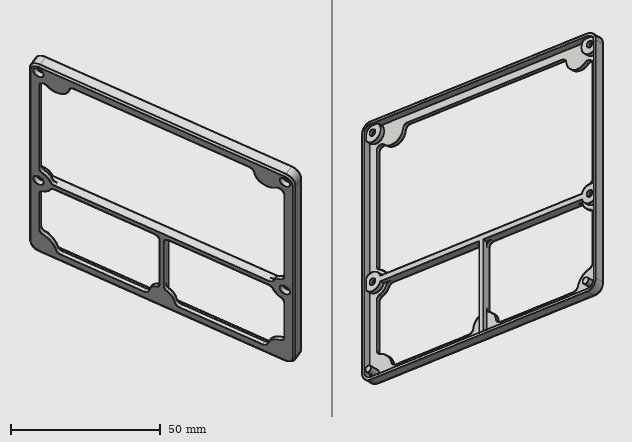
import cadquery as cq
import math

width = 102.4
height = 98.4
frame_depth = 4.5
corner_radius = 3.8
front_chamfer = 0.7
border = 4.0
plate_thickness = 1.5
rim_thickness = 1.0

crossbar_z = -11.4
crossbar_width = 2.2
post_width = 1.7
rib_depth = 3.4

lobe_radius = 5.0
corner_lobe_radius = 7.0
top_lobe_x = 40.7
end_lobe_z = 44.2
window_fillet = 1.9

fixing_inset = 3.7
hole_diameter = 2.5
counterbore_diameter = 4.0
counterbore_depth = 2.0
boss_diameter = 7.2
pin_diameter = 2.5
pin_length = 1.0

inner_x = width / 2 - border
inner_z = height / 2 - border
recess_x = width / 2 - rim_thickness
recess_z = height / 2 - rim_thickness
fixing_x = width / 2 - fixing_inset
fixing_z = height / 2 - fixing_inset
pin_end = frame_depth + pin_length
crossbar_top = crossbar_z + crossbar_width / 2
crossbar_bottom = crossbar_z - crossbar_width / 2


def front_plane(y=0):
    """Sketch plane at depth y, with local axes X and Z and its normal toward -Y."""
    return cq.Workplane("XZ", origin=(0, y, 0))


def block(x_min, x_max, z_min, z_max, y_min=0, y_max=frame_depth):
    """Rectangular prism between two depths."""
    center = ((x_min + x_max) / 2, (z_min + z_max) / 2)
    return front_plane(y_min).center(*center).rect(x_max - x_min, z_max - z_min).extrude(y_min - y_max)


def discs(points, radius, depth=frame_depth, y=0):
    """Cylinders along Y that start at depth y."""
    return front_plane(y).pushPoints(points).circle(radius).extrude(-depth)


def both_sides(x, z):
    """The same place on the left and right of the frame."""
    return [(-x, z), (x, z)]


def frame_plate():
    """Solid rounded plate with a chamfered front edge."""
    plate = block(-width / 2, width / 2, -height / 2, height / 2)
    plate = plate.edges("|Y").fillet(corner_radius)
    return plate.faces("<Y").chamfer(front_chamfer)


def back_recess():
    """Hollow behind the front plate, leaving a thin rim around the outline."""
    recess = block(-recess_x, recess_x, -recess_z, recess_z, plate_thickness)
    return recess.edges("|Y").fillet(corner_radius - rim_thickness)


def back_ribs():
    """Stiffening ribs behind the crossbar and the post."""
    crossbar = block(-recess_x, recess_x, crossbar_bottom, crossbar_top, plate_thickness, rib_depth)
    post = block(-post_width / 2, post_width / 2, -recess_z, crossbar_z, plate_thickness, rib_depth)
    return crossbar.union(post)


def upper_window():
    """Full-width opening above the crossbar."""
    window = block(-inner_x, inner_x, crossbar_top, inner_z)
    window = window.cut(discs(both_sides(fixing_x, crossbar_z), lobe_radius))
    lower_half = cq.selectors.BoxSelector((-width, -width, -height), (width, width, 0))
    window = window.edges("|Y").edges(lower_half).fillet(window_fillet)

    relief_x = inner_x - window_fillet
    relief_drop = math.sqrt((lobe_radius + window_fillet) ** 2 - (relief_x - top_lobe_x) ** 2)
    relief_z = end_lobe_z - relief_drop
    window = window.cut(discs(both_sides(top_lobe_x, end_lobe_z), lobe_radius))
    for side in (-1, 1):
        corner_web = [
            (side * inner_x, inner_z),
            (side * inner_x, relief_z),
            (side * relief_x, relief_z),
            (side * top_lobe_x, end_lobe_z),
            (side * top_lobe_x, inner_z),
        ]
        window = window.cut(front_plane().polyline(corner_web).close().extrude(-frame_depth))
    window = window.edges("|Y").edges(">Z").fillet(window_fillet)
    return window.union(discs(both_sides(relief_x, relief_z), window_fillet))


def lower_left_window():
    """Opening below the crossbar, left of the post."""
    window = block(-inner_x, -post_width / 2, -inner_z, crossbar_bottom)
    window = window.cut(discs([(-fixing_x, crossbar_z)], lobe_radius))
    window = window.cut(discs([(0, -end_lobe_z)], lobe_radius))
    window = window.cut(discs([(-fixing_x, -fixing_z)], corner_lobe_radius))
    return window.edges("|Y").fillet(window_fillet)


hole_points = both_sides(fixing_x, fixing_z) + both_sides(fixing_x, crossbar_z)
pin_points = both_sides(fixing_x, -fixing_z)

outer_plate = frame_plate()
bosses = discs(hole_points, boss_diameter / 2, rib_depth - plate_thickness, plate_thickness)
result = outer_plate.cut(back_recess()).union(back_ribs())
result = result.union(bosses.intersect(outer_plate))

left_window = lower_left_window()
result = result.cut(upper_window())
result = result.cut(left_window).cut(left_window.mirror("YZ"))

result = result.cut(discs(hole_points, hole_diameter / 2))
result = result.cut(discs(hole_points, counterbore_diameter / 2, counterbore_depth))
result = result.union(discs(pin_points, pin_diameter / 2, pin_end - plate_thickness, plate_thickness))